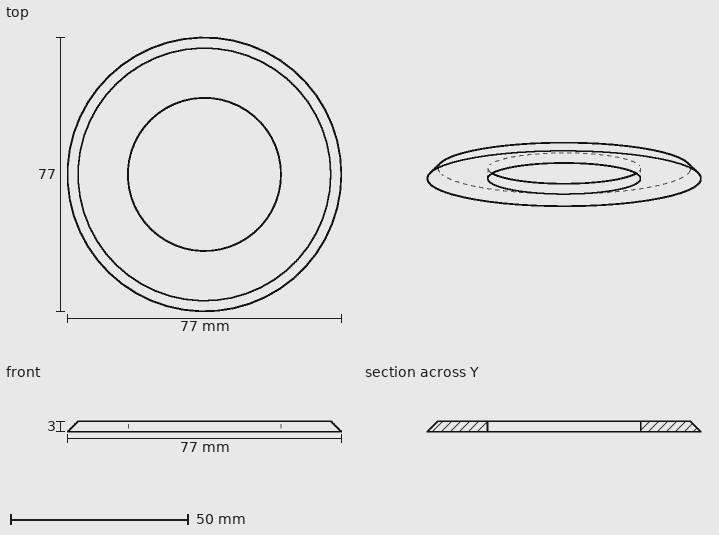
import cadquery as cq

outer_diameter = 77.0
bore_diameter = 43.0
thickness = 3.0

base_radius = outer_diameter / 2
bore_radius = bore_diameter / 2
top_radius = base_radius - thickness

section = (
    cq.Workplane("XZ")
    .moveTo(bore_radius, 0)
    .lineTo(base_radius, 0)
    .lineTo(top_radius, thickness)
    .lineTo(bore_radius, thickness)
    .close()
)

result = section.revolve(360, (0, 0, 0), (0, 1, 0))